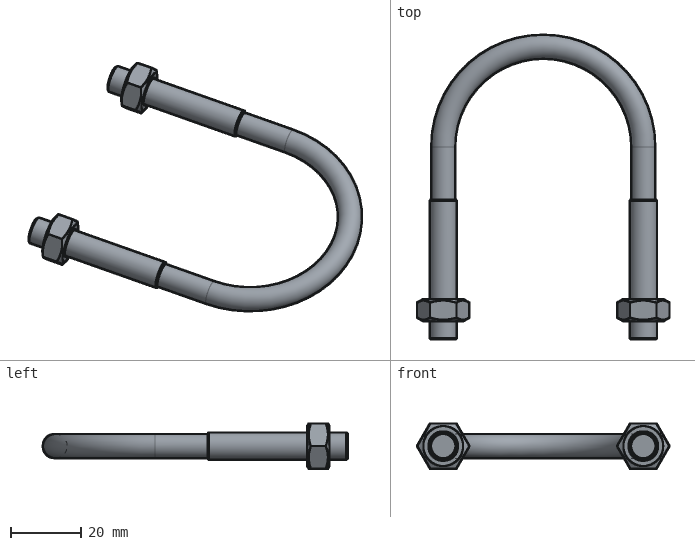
import cadquery as cq
import math

total_length = 87.0
total_width = 72.0

rod_diameter = 7.0
thread_diameter = 7.8
thread_length = 40.0
thread_chamfer = 0.4

nut_across_flats = 13.0
nut_height = 6.35
nut_end_gap = 5.2
nut_face_diameter = 11.4
nut_chamfer_angle = 30.0
nut_countersink_diameter = 8.4

nut_across_corners = nut_across_flats / math.cos(math.radians(30))
bend_radius = (total_width - nut_across_corners) / 2
leg_length = total_length - bend_radius - rod_diameter / 2
leg_end_y = -leg_length


def along_leg(x, y):
    """Workplane across a leg, with its normal pointing toward the bend."""
    return cq.Workplane(cq.Plane(origin=(x, y, 0), xDir=(1, 0, 0), normal=(0, 1, 0)))


def make_rod():
    shoulder_y = leg_end_y + thread_length
    path = (
        cq.Workplane("XY")
        .moveTo(-bend_radius, shoulder_y)
        .lineTo(-bend_radius, 0)
        .threePointArc((0, bend_radius), (bend_radius, 0))
        .lineTo(bend_radius, shoulder_y)
    )
    return along_leg(-bend_radius, shoulder_y).circle(rod_diameter / 2).sweep(path)


def make_threaded_end(x):
    cylinder = along_leg(x, leg_end_y).circle(thread_diameter / 2).extrude(thread_length)
    return cylinder.edges("%CIRCLE").chamfer(thread_chamfer)


def make_nut(x):
    """Hexagon prism with its corners turned to a cone and its hole countersunk at both faces."""
    nut_y = leg_end_y + nut_end_gap
    hexagon = along_leg(x, nut_y).polygon(6, nut_across_corners).extrude(nut_height)
    face_radius = nut_face_diameter / 2
    corner_radius = nut_across_corners / 2
    cone_height = (corner_radius - face_radius) * math.tan(math.radians(nut_chamfer_angle))
    envelope = (
        along_leg(x, nut_y)
        .circle(corner_radius)
        .extrude(nut_height)
        .edges("%CIRCLE")
        .chamfer(cone_height, corner_radius - face_radius)
    )
    hole = along_leg(x, nut_y).circle(thread_diameter / 2).extrude(nut_height)
    nut = hexagon.intersect(envelope).cut(hole)
    countersink_depth = (nut_countersink_diameter - thread_diameter) / 2
    return nut.edges(cq.selectors.RadiusNthSelector(0)).chamfer(countersink_depth)


result = make_rod()
for leg_x in (-bend_radius, bend_radius):
    result = result.union(make_threaded_end(leg_x)).union(make_nut(leg_x))